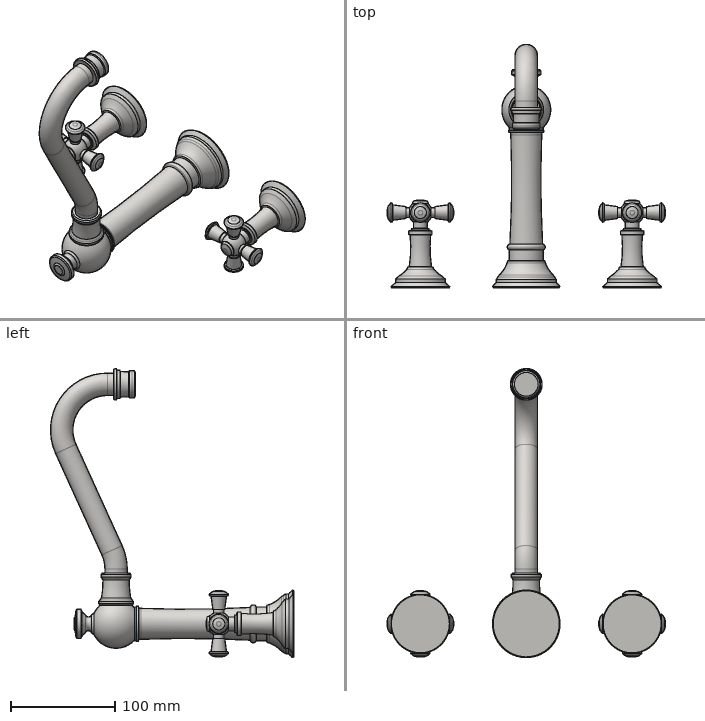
import cadquery as cq
import math


handle_spacing = 101.5

base_radius = 32.5
column_foot = 42.2
column_end = 147.0
ball_station = 170.8
ball_radius = 23.5
knob_tip = 211.3

riser_top = 48.5
riser_ring_radius = 14.5
pipe_radius = 10.8
bend_radius = 44.0
lean_angle = math.radians(24.5)
bend_station = 179.0
outlet_height = 230.0
outlet_end = 152.2
outlet_ring_radius = 15.3

handle_base_radius = 28.3
hub_station = 72.2
hub_radius = 11.5
stem_radius = 6.8
arm_reach = 32.07
arm_count = 4

MID = "arc middle"


def turned(profile):
    """Solid of revolution about the Y axis.

    Each entry is (station, radius); an entry marked MID is the middle point of the arc
    that joins the entries before and after it.
    """
    outline = cq.Workplane("XY").moveTo(0, profile[0][0])
    arc_middle = None
    for station, radius, *mark in profile:
        if mark:
            arc_middle = (radius, station)
        elif arc_middle:
            outline = outline.threePointArc(arc_middle, (radius, station))
            arc_middle = None
        else:
            outline = outline.lineTo(radius, station)
    outline = outline.lineTo(0, profile[-1][0]).close()
    return outline.revolve(360, (0, 0, 0), (0, 1, 0))


def ball(radius, station):
    return cq.Workplane("XY").sphere(radius).translate((0, station, 0))


def spout_column():
    return turned([
        (0, 31.7),
        (1.5, base_radius),
        (5.3, 29.0),
        (7.8, 29.0),
        (10.3, 27.5),
        (12.2, 26.0),
        (17.5, 21.7, MID),
        (23.5, 18.5),
        (25.8, 18.0),
        (26.5, 16.5),
        (36.0, 16.5),
        (37.0, 17.5),
        (39.2, 18.3, MID),
        (41.5, 17.2),
        (column_foot, 15.8),
        (100.0, 14.2, MID),
        (column_end, 15.0),
        (148.8, 15.3),
        (149.5, 17.0),
        (151.0, 17.0),
        (151.5, 16.5),
        (153.3, 16.5),
        (153.3, 14.0),
        (ball_station, 14.0),
    ])


def knob():
    return turned([
        (ball_station, 10.5),
        (191.5, 10.5),
        (194.5, 9.0),
        (197.0, 6.7, MID),
        (200.0, 8.3),
        (203.5, 12.0),
        (204.7, 14.2),
        (208.3, 14.2),
        (209.5, 13.0),
        (210.2, 7.0),
        (knob_tip, 5.0),
    ])


def riser():
    upright = turned([
        (0, 15.5),
        (18.0, 15.5),
        (19.5, 16.7),
        (21.7, 16.7),
        (22.8, 15.5),
        (25.0, 14.2),
        (33.3, 13.0, MID),
        (42.2, 12.8),
        (44.0, 14.0),
        (45.0, riser_ring_radius),
        (47.2, riser_ring_radius),
        (riser_top, 13.3),
    ])
    return upright.rotate((0, 0, 0), (1, 0, 0), 90).translate((0, ball_station, 0))


def spout_body():
    return spout_column().union(ball(ball_radius, ball_station)).union(knob()).union(riser())


def gooseneck():
    sin_lean = math.sin(lean_angle)
    cos_lean = math.cos(lean_angle)

    bend_height = outlet_height - bend_radius
    upper_y = bend_station + bend_radius * cos_lean
    upper_z = bend_height - bend_radius * sin_lean
    lower_y = ball_station + bend_radius * (1 - cos_lean)
    lower_z = upper_z - (upper_y - lower_y) * cos_lean / sin_lean
    bottom_z = lower_z - bend_radius * sin_lean
    lower_mid = (
        ball_station + bend_radius * (1 - math.cos(lean_angle / 2)),
        bottom_z + bend_radius * math.sin(lean_angle / 2),
    )
    top_turn = (math.pi / 2 - lean_angle) / 2
    top_mid = (
        bend_station + bend_radius * math.cos(top_turn),
        bend_height + bend_radius * math.sin(top_turn),
    )
    path = (
        cq.Workplane("YZ")
        .moveTo(ball_station, riser_top)
        .lineTo(ball_station, bottom_z)
        .threePointArc(lower_mid, (lower_y, lower_z))
        .lineTo(upper_y, upper_z)
        .threePointArc(top_mid, (bend_station, outlet_height))
        .lineTo(outlet_end, outlet_height)
    )
    pipe = cq.Workplane("XY", origin=(0, ball_station, riser_top)).circle(pipe_radius).sweep(path)
    return pipe.union(outlet())


def outlet():
    nozzle = turned([
        (outlet_end, 11.5),
        (153.3, 13.0),
        (155.5, 13.3),
        (158.0, 13.0),
        (158.8, 12.2),
        (166.5, 12.5),
        (167.2, 13.5),
        (170.0, 14.0),
        (170.5, outlet_ring_radius),
        (173.0, 14.7),
        (173.3, 13.5),
    ])
    return nozzle.translate((0, 0, outlet_height))


def handle_column():
    return turned([
        (0, 27.8),
        (1.0, handle_base_radius),
        (5.0, 24.0),
        (8.3, 24.0),
        (11.5, 20.5),
        (14.5, 16.5, MID),
        (17.5, 13.3),
        (19.7, 12.2),
        (20.3, 10.8),
        (37.5, 9.5, MID),
        (50.5, 10.0),
        (51.0, 11.5),
        (54.5, 11.5),
        (55.5, 8.3),
        (57.0, 8.3),
        (57.2, stem_radius),
        (hub_station, stem_radius),
    ])


def hub_cap():
    return turned([
        (hub_station, 7.8),
        (81.0, 7.8),
        (83.3, 6.7),
        (84.5, 2.2),
    ])


def arm():
    return turned([
        (0, 4.85),
        (14.0, 4.85),
        (14.0, 5.8),
        (26.5, 7.5),
        (27.0, 9.0),
        (28.3, 9.5),
        (29.7, 7.8),
        (31.0, 5.8),
        (arm_reach, 2.2),
    ])


def handle():
    body = handle_column().union(ball(hub_radius, hub_station)).union(hub_cap())
    sideways_arm = arm().rotate((0, 0, 0), (0, 0, 1), 90)
    for index in range(arm_count):
        placed_arm = sideways_arm.rotate((0, 0, 0), (0, 1, 0), 360 / arm_count * index)
        body = body.union(placed_arm.translate((0, hub_station, 0)))
    return body


spout = spout_body()
neck = gooseneck()
handles = [handle().translate((side * handle_spacing, 0, 0)) for side in (-1, 1)]

result = cq.Compound.makeCompound([spout.val(), neck.val(), *[item.val() for item in handles]])